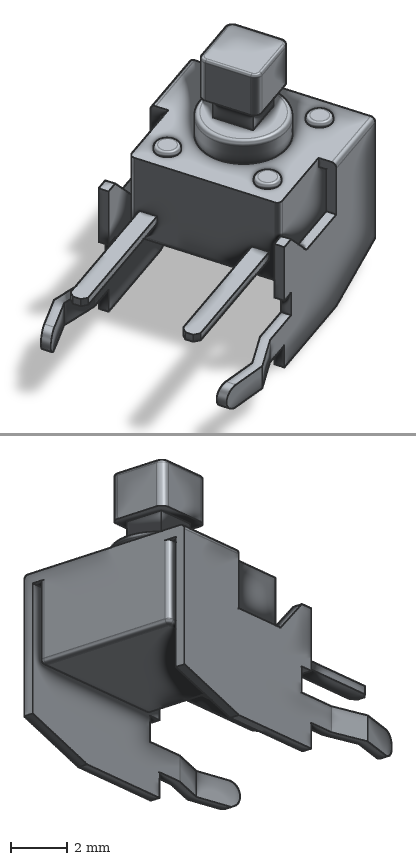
import cadquery as cq


HOUSING_SIDE = 6.0
HOUSING_HEIGHT = 3.6
HOUSING_RADIUS = 0.2
HALF_SIDE = HOUSING_SIDE / 2

RIVET_DIAMETER = 1.0
RIVET_HEIGHT = 0.2
RIVET_RADIUS = 0.15
RIVET_SPACING = 4.0

COLLAR_DIAMETER = 3.5
COLLAR_HEIGHT = 1.0
COLLAR_RADIUS = 0.2
STEM_SIDE = 1.6
STEM_HEIGHT = 1.0
CAP_SIDE = 2.4
CAP_HEIGHT = 1.8
CAP_CORNER_RADIUS = 0.3
CAP_TOP_RADIUS = 0.12

PIN_WIDTH = 0.7
PIN_THICKNESS = 0.32
PIN_SPACING = 4.48
PIN_TOP_DEPTH = 2.3
PIN_CHAMFER = 0.2
PIN_ROOT_DEPTH = 1.0
TOTAL_LENGTH = 11.5
PIN_TIP_Y = HALF_SIDE - TOTAL_LENGTH

SHEET = 0.4
BRACKET_WIDTH = 7.42
BEND_RADIUS = 0.2
WALL_OUTER_X = BRACKET_WIDTH / 2
WALL_FRONT_Y = -4.0
FRONT_STEP = 0.52
WINDOW_DEPTH = 2.29
SLOPE_START_Y = -2.3
HORN_TOP_DEPTH = 1.0
NOTCH_TOP_DEPTH = 3.4
WALL_REAR_DEPTH = 5.4
WALL_BOTTOM_DEPTH = 6.39

LEG_HEIGHT = 1.0
LEG_TOP_DEPTH = 4.4
LEG_BOTTOM_DEPTH = LEG_TOP_DEPTH + LEG_HEIGHT
LEG_BEND_Y = -5.11
LEG_PEAK_Y = -6.57
LEG_TIP_Y = -8.45
OVERALL_WIDTH = 8.31
LEG_KINK = (OVERALL_WIDTH - BRACKET_WIDTH) / 2


def block(width, depth, height, z):
    """Box centred on the Z axis with its underside at height z."""
    return cq.Workplane("XY", origin=(0, 0, z)).rect(width, depth).extrude(height)


def make_housing():
    housing = block(HOUSING_SIDE, HOUSING_SIDE, HOUSING_HEIGHT, -HOUSING_HEIGHT)
    return housing.edges("|Z or <Z").fillet(HOUSING_RADIUS)


def make_rivets():
    return (
        cq.Workplane("XY")
        .rect(RIVET_SPACING, RIVET_SPACING, forConstruction=True)
        .vertices()
        .circle(RIVET_DIAMETER / 2)
        .extrude(RIVET_HEIGHT)
        .faces(">Z")
        .edges()
        .fillet(RIVET_RADIUS)
    )


def make_plunger():
    collar = cq.Workplane("XY").circle(COLLAR_DIAMETER / 2).extrude(COLLAR_HEIGHT)
    collar = collar.faces(">Z").edges().fillet(COLLAR_RADIUS)
    stem = block(STEM_SIDE, STEM_SIDE, STEM_HEIGHT, COLLAR_HEIGHT)
    cap = block(CAP_SIDE, CAP_SIDE, CAP_HEIGHT, COLLAR_HEIGHT + STEM_HEIGHT)
    cap = cap.edges("|Z").fillet(CAP_CORNER_RADIUS)
    cap = cap.faces(">Z").edges().fillet(CAP_TOP_RADIUS)
    return collar.union(stem).union(cap)


def make_pin(x):
    """Flat pin running from inside the housing to its chamfered tip."""
    pin_length = TOTAL_LENGTH - HOUSING_SIDE + PIN_ROOT_DEPTH
    pin = cq.Workplane("XY").box(PIN_WIDTH, pin_length, PIN_THICKNESS, centered=(True, False, False))
    pin = pin.translate((x, PIN_TIP_Y, -PIN_TOP_DEPTH - PIN_THICKNESS))
    return pin.faces("<Y").edges("|Z").chamfer(PIN_CHAMFER)


def make_wall():
    """Bracket side wall on -X with the flange that joins it to the housing top."""
    notch_y = WALL_FRONT_Y + FRONT_STEP
    outline = [
        (HALF_SIDE, 0),
        (0, 0),
        (0, -WINDOW_DEPTH),
        (SLOPE_START_Y, -WINDOW_DEPTH),
        (notch_y, -HORN_TOP_DEPTH),
        (WALL_FRONT_Y, -HORN_TOP_DEPTH),
        (WALL_FRONT_Y, -NOTCH_TOP_DEPTH),
        (notch_y, -NOTCH_TOP_DEPTH),
        (notch_y, -LEG_TOP_DEPTH),
        (WALL_FRONT_Y, -LEG_TOP_DEPTH),
        (WALL_FRONT_Y, -WALL_BOTTOM_DEPTH),
        (0, -WALL_BOTTOM_DEPTH),
        (HALF_SIDE, -WALL_REAR_DEPTH),
    ]
    wall = cq.Workplane("YZ", origin=(-WALL_OUTER_X, 0, 0)).polyline(outline).close().extrude(SHEET)
    flange_length = WALL_OUTER_X - HALF_SIDE + HOUSING_RADIUS
    flange = cq.Workplane("XY").box(flange_length, HALF_SIDE, SHEET, centered=False)
    flange = flange.translate((-WALL_OUTER_X, 0, -SHEET))
    bend_edge = cq.selectors.NearestToPointSelector((-WALL_OUTER_X, HALF_SIDE / 2, 0))
    return wall.union(flange).edges(bend_edge).fillet(BEND_RADIUS)


def make_leg():
    """Locking leg on -X: a kinked strip with a rounded tip."""
    peak_x = -WALL_OUTER_X - LEG_KINK
    outer_side = [
        (-WALL_OUTER_X, WALL_FRONT_Y),
        (-WALL_OUTER_X, LEG_BEND_Y),
        (peak_x, LEG_PEAK_Y),
        (-WALL_OUTER_X, LEG_TIP_Y),
    ]
    inner_side = [(x + SHEET, y) for x, y in reversed(outer_side)]
    strip = (
        cq.Workplane("XY", origin=(0, 0, -LEG_BOTTOM_DEPTH))
        .polyline(outer_side + inner_side)
        .close()
        .extrude(LEG_HEIGHT)
    )
    tip_radius = LEG_HEIGHT / 2
    rounded_side = (
        cq.Workplane("YZ")
        .moveTo(WALL_FRONT_Y, -LEG_TOP_DEPTH)
        .lineTo(LEG_TIP_Y + tip_radius, -LEG_TOP_DEPTH)
        .threePointArc(
            (LEG_TIP_Y, -LEG_TOP_DEPTH - tip_radius),
            (LEG_TIP_Y + tip_radius, -LEG_BOTTOM_DEPTH),
        )
        .lineTo(WALL_FRONT_Y, -LEG_BOTTOM_DEPTH)
        .close()
        .extrude(-OVERALL_WIDTH)
    )
    return strip.intersect(rounded_side)


bracket = make_wall().union(make_leg())

result = make_housing().union(make_rivets()).union(make_plunger())
for pin_x in (-PIN_SPACING / 2, PIN_SPACING / 2):
    result = result.union(make_pin(pin_x))
result = result.union(bracket).union(bracket.mirror("YZ"))